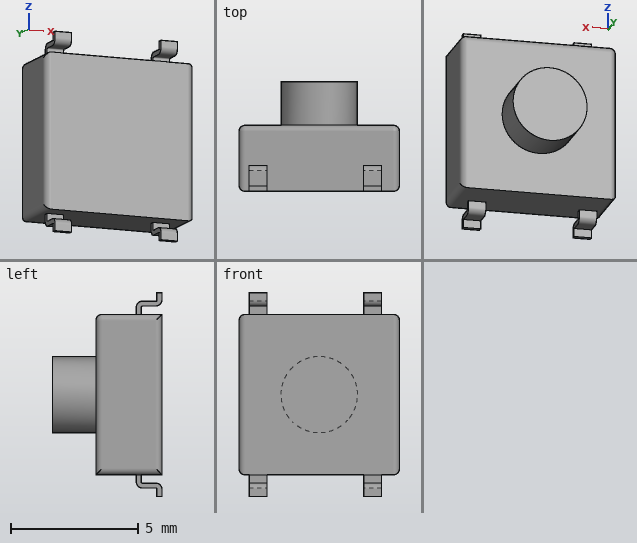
import cadquery as cq

total_height = 8.0
total_depth = 4.3
body_side = 6.3
body_depth = 2.6
edge_radius = 0.25

button_diameter = 3.0

lead_width = 0.7
lead_pitch = 4.5
lead_offset_x = -0.15
lead_thickness = 0.2
foot_thickness = 0.22
lead_depth = 1.02
shelf_gap = 0.32
bend_outer_radius = 0.25
bend_inner_radius = bend_outer_radius - lead_thickness

half_side = body_side / 2
lead_reach = (total_height - body_side) / 2


def make_body():
    """Block with rounded sides and rounded top back edge; its other top and bottom edges along X are sharp.

    The roundings blend at the two upper back corners and meet in a mitre at the other six.
    """
    block = cq.Workplane("XY").box(body_side, body_depth, body_side)
    upper_back_rounded = block.edges("(>Z and |Y) or (>Y and |Z) or (>Y and >Z)").fillet(edge_radius)
    bottom_rounded = block.edges("<Z and |Y").fillet(edge_radius)
    front_rounded = block.edges("<Y and |Z").fillet(edge_radius)
    body = upper_back_rounded.intersect(bottom_rounded).intersect(front_rounded)
    return body.translate((0, body_depth / 2, 0))


def make_button():
    """Plain cylinder standing on the back face."""
    button_length = total_depth - body_depth
    return (
        cq.Workplane("XZ", origin=(0, body_depth, 0))
        .circle(button_diameter / 2)
        .extrude(-button_length)
    )


def make_upper_lead(center_x):
    """Strip that rises from the body, bends forward, then turns up into a foot."""
    root_z = half_side
    shelf_bottom = root_z + shelf_gap
    shelf_top = shelf_bottom + lead_thickness
    tip_z = root_z + lead_reach
    root_front = lead_depth - lead_thickness
    return (
        cq.Workplane("YZ", origin=(center_x - lead_width / 2, 0, 0))
        .moveTo(lead_depth, root_z)
        .lineTo(lead_depth, shelf_top - bend_outer_radius)
        .radiusArc((lead_depth - bend_outer_radius, shelf_top), -bend_outer_radius)
        .lineTo(foot_thickness, shelf_top)
        .lineTo(foot_thickness, tip_z)
        .lineTo(0, tip_z)
        .lineTo(0, shelf_bottom + bend_outer_radius)
        .radiusArc((bend_outer_radius, shelf_bottom), -bend_outer_radius)
        .lineTo(root_front - bend_inner_radius, shelf_bottom)
        .radiusArc((root_front, shelf_bottom - bend_inner_radius), bend_inner_radius)
        .lineTo(root_front, root_z)
        .close()
        .extrude(lead_width)
    )


result = make_body().union(make_button())
for side in (-1, 1):
    upper_lead = make_upper_lead(lead_offset_x + side * lead_pitch / 2)
    result = result.union(upper_lead).union(upper_lead.mirror("XY"))